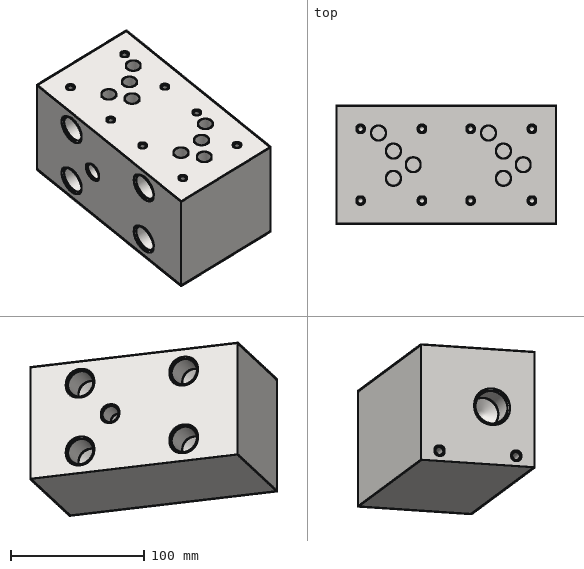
import cadquery as cq
import math

LENGTH = 165.1
SECTION = 88.8
FRONT = -SECTION / 2
LEFT = -LENGTH / 2
TOP = SECTION / 2

INTO_FRONT = (0, 1, 0)
INTO_LEFT = (1, 0, 0)
INTO_TOP = (0, 0, -1)

DRILL_POINT_ANGLE = 120.0
PIPE_TAPER = 1 / 16

STATION_PITCH = 82.5
FIRST_STATION_X = -41.3
STATION_CENTRES = (FIRST_STATION_X, FIRST_STATION_X + STATION_PITCH)

BOLT_SPACING_X = 46.0
BOLT_SPACING_Y = 53.8
BOLT_DIAMETER = 5.0
BOLT_MOUTH = 6.5
BOLT_DEPTH = 16.5

VALVE_PORT_DIAMETER = 11.2
VALVE_PORT_DEPTH = 16.5
WORK_PORT_X = 1.7
WORK_PORT_Y = 10.2
VALVE_PORTS = (
    (-9.5, 23.8),
    (WORK_PORT_X, WORK_PORT_Y),
    (WORK_PORT_X, -WORK_PORT_Y),
    (16.5, 0.0),
)

AB_OFFSET_X = -1.7
AB_HEIGHT = 26.9
AB_MOUTH = 22.8
AB_DIAMETER = 20.1
AB_DEPTH = 23.1

GAUGE_X = -19.0
GAUGE_MOUTH = 14.9
GAUGE_DIAMETER = 12.9
GAUGE_DEPTH = 18.2

PRESSURE_Y = -11.0
PRESSURE_MOUTH = 28.0
PRESSURE_DIAMETER = 25.1
PRESSURE_DEPTH = 23.1

MOUNT_SPACING = 60.1
MOUNT_Z = -36.5
MOUNT_DIAMETER = 6.5
MOUNT_MOUTH = 8.1
MOUNT_DEPTH = 16.5


def drilled_hole(position, direction, mouth, diameter, depth, taper=0.0):
    """Blind hole with a 45 degree chamfered mouth and a conical drill tip.

    diameter is taken just below the chamfer, and taper is the diameter lost per
    unit of depth from there. depth runs from the face to the start of the tip.
    """
    chamfer = (mouth - diameter) / 2
    end_radius = (diameter - taper * (depth - chamfer)) / 2
    tip = end_radius / math.tan(math.radians(DRILL_POINT_ANGLE / 2))
    profile = [
        (0, 0),
        (mouth / 2, 0),
        (diameter / 2, chamfer),
        (end_radius, depth),
        (0, depth + tip),
    ]
    hole = cq.Workplane("XZ").polyline(profile).close().revolve(360, (0, 0), (0, 1))
    return hole.val().moved(cq.Plane(position, normal=direction).location)


def valve_bolt_holes(station_x):
    holes = []
    for side_x in (-1, 1):
        for side_y in (-1, 1):
            position = (station_x + side_x * BOLT_SPACING_X / 2, side_y * BOLT_SPACING_Y / 2, TOP)
            holes.append(drilled_hole(position, INTO_TOP, BOLT_MOUTH, BOLT_DIAMETER, BOLT_DEPTH))
    return holes


def valve_port_holes(station_x):
    centres = [(station_x + x, y) for x, y in VALVE_PORTS]
    ports = (
        cq.Workplane("XY", origin=(0, 0, TOP))
        .pushPoints(centres)
        .circle(VALVE_PORT_DIAMETER / 2)
        .extrude(-VALVE_PORT_DEPTH)
    )
    return ports.solids().vals()


def work_ports(station_x):
    port_x = station_x + AB_OFFSET_X
    return [
        drilled_hole((port_x, FRONT, z), INTO_FRONT, AB_MOUTH, AB_DIAMETER, AB_DEPTH, PIPE_TAPER)
        for z in (-AB_HEIGHT, AB_HEIGHT)
    ]


def gauge_port():
    position = (GAUGE_X, FRONT, 0)
    return drilled_hole(position, INTO_FRONT, GAUGE_MOUTH, GAUGE_DIAMETER, GAUGE_DEPTH, PIPE_TAPER)


def pressure_port():
    position = (LEFT, PRESSURE_Y, 0)
    return drilled_hole(
        position, INTO_LEFT, PRESSURE_MOUTH, PRESSURE_DIAMETER, PRESSURE_DEPTH, PIPE_TAPER
    )


def mounting_holes():
    return [
        drilled_hole((LEFT, y, MOUNT_Z), INTO_LEFT, MOUNT_MOUTH, MOUNT_DIAMETER, MOUNT_DEPTH)
        for y in (-MOUNT_SPACING / 2, MOUNT_SPACING / 2)
    ]


cavities = [gauge_port(), pressure_port()] + mounting_holes()
for station_x in STATION_CENTRES:
    cavities += valve_bolt_holes(station_x)
    cavities += valve_port_holes(station_x)
    cavities += work_ports(station_x)

result = cq.Workplane("XY").box(LENGTH, SECTION, SECTION)
for cavity in cavities:
    result = result.cut(cq.Workplane(cavity))